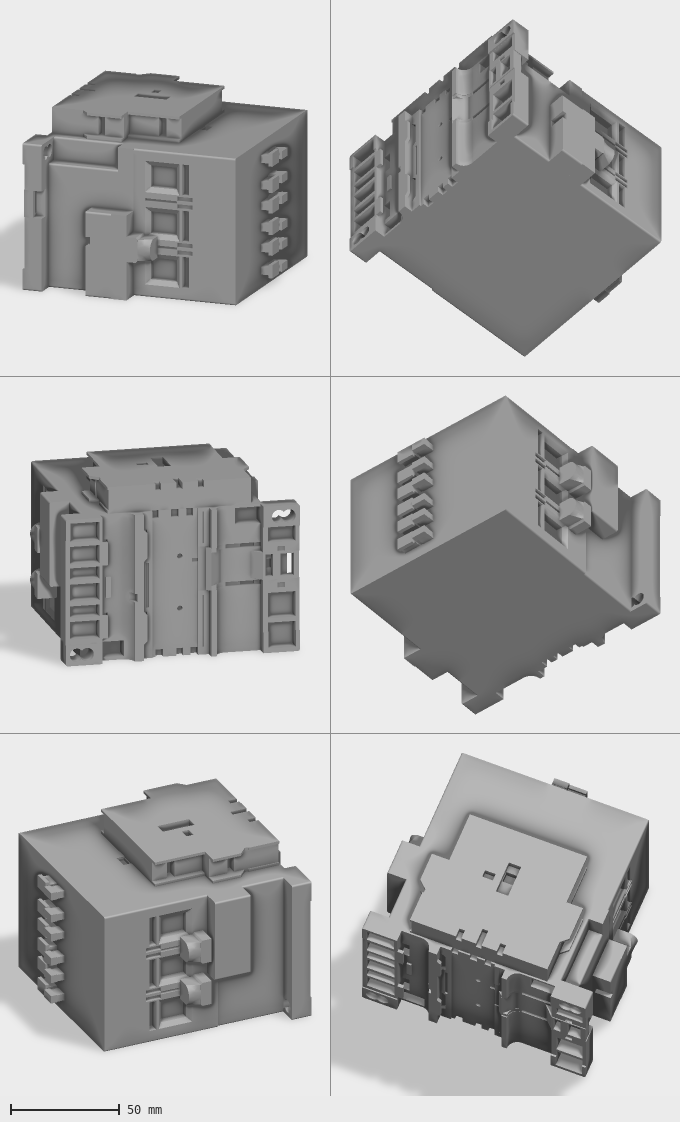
import cadquery as cq

height = 69.9
edge_radius = 0.9
seam_x = 43.5
cap_seam_x = 94.0
cap_front_x = 101.2

wall_x = 5.6
left_foot_x = 9.9
right_foot_x = 9.5
left_foot_y = (37.6, 55.0)
right_foot_y = (-55.8, -38.5)
core_y = (-39.9, 45.8)
shelf_y = -46.8
shelf_z = 58.9
block_x = 31.0
right_block_z = (0.0, 40.3)
left_block_z = (height - right_block_z[1], height)
left_relief = 0.6
right_relief = 0.9
foot_pad = 9.9
pocket_depth = 7.2
keyhole_radius = 3.2
keyhole_edge = 5.1
window_z = (34.8, 47.8)

lip_x = 0.3
step_x = 4.7
clip_z = (31.4, 51.6)
clip_gap = 2.1
clip_step_x = 5.2
left_lip_y = (18.0, 22.2)
right_lip_y = (-16.6, -14.0)
lip_radius = wall_x - lip_x
left_step_end_y = 12.8
right_step_end_y = -8.8

hook_spans = [(6.6, 24.6), (46.2, 63.7)]
foot_tab_spans = [(12.0, 22.8), (46.9, 57.7)]
left_pocket_spans = [(12.4, 21.0), (22.8, 28.4), (30.5, 38.8), (40.8, 46.5), (48.2, 56.8), (58.9, 68.1)]
right_pocket_spans = [(2.0, 14.2), (16.2, 28.4), (52.4, 59.8)]

side_y = 46.4
column_x = 51.2
left_block_end_x = 49.0
left_block_y = left_foot_y[1]
right_block_y = right_foot_y[0]
pole_pitch = 22.0
pole_z = [13.3 + pole_pitch * i for i in range(3)]
gap_z = [z + pole_pitch / 2 for z in pole_z[:2]]
tongue_y = (-24.3, 23.4)
tongue_length = 2.0

plate = 1.4
top_z = 82.4
top_rear_x = 6.4
top_step_x = 41.8
top_front_x = 67.2
top_right_y = -34.3
top_left_y = 33.1


def box(x, y, z):
    """Box from (low, high) spans along the three axes."""
    return cq.Workplane("XY").box(
        x[1] - x[0], y[1] - y[0], z[1] - z[0], centered=False
    ).translate((x[0], y[0], z[0]))


def rounded(x, y, z, edges="|X"):
    """Box with rounded chosen edges."""
    return box(x, y, z).edges(edges).fillet(edge_radius)


def plan(points, z):
    """Prism with an outline in X and Y between two heights."""
    return cq.Workplane("XY").polyline(points).close().extrude(z[1] - z[0]).translate((0, 0, z[0]))


def cut_all(body, cutters):
    """Body with every cutter removed."""
    for cutter in cutters:
        body = body.cut(cutter)
    return body


def join_all(body, parts):
    """Body fused with every part."""
    for part in parts:
        body = body.union(part)
    return body


def base_blank():
    """Core, shelf, feet and the rear halves of the terminal blocks."""
    full = (0, height)
    body = rounded((wall_x, left_foot_x), (0, left_foot_y[1]), full, "|X and >Y")
    return join_all(body, [
        rounded((wall_x, right_foot_x), (right_foot_y[0], 0), full, "|X and <Y"),
        rounded((left_foot_x, seam_x), (0, core_y[1]), full, "|X and >Y"),
        rounded((right_foot_x, seam_x), (core_y[0], 0), full, "|X and <Y"),
        rounded((right_foot_x, seam_x), (shelf_y, 0), (0, shelf_z), "|X and <Y"),
        rounded((0, wall_x), left_foot_y, full, "|X and >Y"),
        rounded((0, wall_x), right_foot_y, full, "|X and <Y"),
        rounded((block_x, seam_x), (0, left_block_y), left_block_z, "|X and >Y"),
        rounded((block_x, seam_x), (right_block_y, 0), right_block_z, "|X and <Y"),
    ])


def lip(y_flat, y_step, y_fillet, z, drop=0.0):
    """Rail lip: a flat ridge with a concave flank towards its foot and a low step on the other side."""
    ridge_x = lip_x + drop
    bend = lip_radius - drop
    away = 1 if y_fillet > y_flat else -1
    middle = bend * 0.5 ** 0.5
    profile = (
        cq.Workplane("XY")
        .moveTo(wall_x + 1.1, y_step)
        .lineTo(step_x, y_step)
        .lineTo(step_x, y_flat)
        .lineTo(ridge_x, y_flat)
        .lineTo(ridge_x, y_fillet)
        .threePointArc(
            (ridge_x + middle, y_fillet + away * (bend - middle)),
            (wall_x, y_fillet + away * bend),
        )
        .lineTo(wall_x + 1.1, y_fillet + away * bend)
        .close()
    )
    return profile.extrude(z[1] - z[0]).translate((0, 0, z[0]))


def lip_trapezoid(z, x, reach):
    """Prism with 45 degree ends beside the left lip, as long as its z span where it meets the lip."""
    root_y = left_lip_y[0]
    return (
        cq.Workplane("YZ")
        .polyline([
            (root_y, z[0]), (root_y, z[1]), (root_y - reach, z[1] - reach), (root_y - reach, z[0] + reach),
        ])
        .close()
        .extrude(x[1] - x[0])
        .translate((x[0], 0, 0))
    )


def rail_clip():
    """Wedge-nosed clip that fills the opening of the right lip."""
    ramp_z = (clip_z[0] + clip_gap, clip_z[1] - clip_gap)
    nose_y = right_lip_y[1]
    root_x = wall_x + 1.1
    nose_reach = 2.0
    ramp_end_y = -19.5
    nose = plan([(2.3, nose_y), (2.3, nose_y + nose_reach), (lip_x, nose_y)], clip_z)
    shoulder = box((clip_step_x, root_x), (nose_y, right_step_end_y), clip_z)
    ramp = plan([(root_x, nose_y), (lip_x, nose_y), (wall_x, ramp_end_y), (root_x, ramp_end_y)], ramp_z)
    return ramp.union(nose).union(shoulder)


def foot_gusset():
    """Wedge between the rear wall and the middle of the right foot."""
    reach = 4.8
    foot_y = right_foot_y[1]
    return plan([(wall_x, foot_y + reach), (wall_x, foot_y), (wall_x - reach, foot_y)], window_z)


def rail_features():
    """Everything that stands out from the rear wall."""
    low_gap = (clip_z[0], clip_z[0] + clip_gap)
    high_gap = (clip_z[1] - clip_gap, clip_z[1])
    right = (right_lip_y[1], right_step_end_y, right_lip_y[0])
    return [
        lip(left_lip_y[0], left_step_end_y, left_lip_y[1], (0, height)),
        lip(*right, (0, clip_z[0])),
        lip(*right, (clip_z[1], height)),
        lip(*right, low_gap, drop=0.5),
        lip(*right, high_gap, drop=0.5),
        foot_gusset(),
        box((step_x, wall_x + 1.1), (32.6, 34.8), (30.1, 40.0)),
    ]


def lip_hook(z):
    """Hook that narrows the rail channel at the left lip."""
    inset = 1.0
    return lip_trapezoid((z[0] + inset, z[1] - inset), (lip_x, 1.9), 1.8)


def hook_clearance(z):
    """Recess in the low step behind a hook."""
    return lip_trapezoid(z, (step_x, wall_x + 0.9), 2.6)


def foot_tabs():
    """Thin tabs on the inner side of the left foot."""
    return [box((left_relief, 2.1), (34.9, left_foot_y[0] + 1.1), z) for z in foot_tab_spans]


def keyhole(y_outer, y_inner, z):
    """Two overlapping mounting holes through a foot."""
    outer = cq.Workplane("YZ").center(y_outer, z).circle(keyhole_radius).extrude(left_foot_x)
    return outer.union(cq.Workplane("YZ").center(y_inner, z).circle(keyhole_radius).extrude(left_foot_x))


def foot_cuts():
    """Keyholes, rear relief and lightening pockets of both feet."""
    relief_z = (foot_pad, height - foot_pad)
    outer_y = right_foot_y[0]
    window_step_x = 5.1
    inner_z = (36.2, 46.9)
    side_pocket_y = (-43.3, -39.7)
    left_pocket_y = (39.0, 52.9)
    right_pocket_y = (-54.0, -41.0)
    small_pocket_y = (-48.8, -45.3)
    small_pocket_spans = [(30.5, 33.1), (48.0, 50.4)]
    cuts = [
        keyhole(-50.6, -45.8, height - keyhole_edge),
        keyhole(49.9, 45.0, keyhole_edge),
        box((0, left_relief), left_foot_y, relief_z),
        box((0, right_relief), right_foot_y, (relief_z[0], window_z[0])),
        box((0, right_relief), right_foot_y, (window_z[1], relief_z[1])),
        box((0, left_relief), right_foot_y, window_z),
        box((0, window_step_x), (-53.1, -46.7), inner_z),
        box((window_step_x, right_foot_x), (outer_y, -50.9), window_z),
        box((0, right_foot_x), (outer_y, outer_y + 0.3), window_z),
        box((0, window_step_x), side_pocket_y, inner_z),
        box((0, pocket_depth), side_pocket_y, (39.2, 43.5)),
    ]
    cuts += [box((0, pocket_depth), left_pocket_y, z) for z in left_pocket_spans]
    cuts += [box((0, pocket_depth), right_pocket_y, z) for z in right_pocket_spans]
    cuts += [box((0, 2.3), small_pocket_y, z) for z in small_pocket_spans]
    return cuts


def wall_notches():
    """Rectangular notches along the upper and lower edge of the rear wall."""
    x = (step_x, wall_x + 2.9)
    notch_height = 3.6
    upper_y = [(9.7, 12.7), (0.2, 3.8), (-6.6, -3.5)]
    lower_y = [(7.5, 11.2), (-1.9, 1.2), (-8.8, -5.3)]
    upper = [box(x, y, (height - notch_height, height)) for y in upper_y]
    lower = [box(x, y, (0, notch_height)) for y in lower_y]
    return upper + lower


def clip_cuts():
    """Stepped grooves above and below the rail clip, and the room for the clip in the low step."""
    groove_y = (right_foot_y[1], right_lip_y[0] - lip_radius)
    deep_y = (-36.0, -29.3)
    room_z = (clip_z[0] - 0.9, clip_z[1])
    cuts = [box((lip_x, clip_step_x), (right_lip_y[1], right_step_end_y), room_z)]
    for z in [(clip_z[0], clip_z[0] + clip_gap), (clip_z[1] - clip_gap, clip_z[1])]:
        cuts.append(box((wall_x, wall_x + 1.7), groove_y, z))
        cuts.append(box((wall_x, wall_x + 2.8), deep_y, z))
    return cuts


def wall_cuts():
    """Recesses, slits and blind holes in the rear wall and the rail lips."""
    recess_x = wall_x + pocket_depth
    slit_y = (-11.4, -10.9)
    slit_spans = [(3.6, 28.4), (53.1, 68.2)]
    hole_y = -0.3
    hole_z = (22.5, 47.5)
    hole_radius = 1.2
    cuts = [
        box((wall_x, recess_x), (right_foot_y[1], -26.4), (60.6, 68.6)),
        box((lip_x, recess_x), (26.1, left_foot_y[0]), (1.5, 9.0)),
        box((lip_x, step_x), (21.0, 24.1), (28.3, 32.2)),
        box((step_x, wall_x + 1.1), (right_step_end_y, -6.1), (44.3, 46.1)),
        box((step_x, wall_x), (14.4, 15.9), (24.1, 45.5)),
    ]
    cuts += [box((step_x, wall_x), slit_y, z) for z in slit_spans]
    cuts += [box((wall_x, wall_x + 3.4), (33.8, left_foot_y[0]), z) for z in foot_tab_spans]
    cuts += [hook_clearance(z) for z in hook_spans]
    holes = cq.Workplane("YZ").pushPoints([(hole_y, z) for z in hole_z])
    cuts.append(holes.circle(hole_radius).extrude(wall_x + 2.3))
    return cuts


def make_base():
    """Base: feet, rail channel and the rear halves of the terminal blocks."""
    body = join_all(base_blank(), rail_features())
    body = cut_all(body, foot_cuts() + wall_notches() + wall_cuts() + clip_cuts())
    block_notch = box((block_x, block_x + 2.3), (right_block_y, -47.9), (24.0, 28.4))
    hooks = [lip_hook(z) for z in hook_spans]
    return join_all(body.cut(block_notch), foot_tabs() + hooks + [rail_clip()])


def screw_tab(z):
    """Tab beside a terminal block, on the right side, with a half-round screw head in front of it."""
    tab_x = (column_x, 56.7)
    head_front_x = 62.9
    half = 5.1
    tab_corner = 0.9
    tab = box(tab_x, (right_block_y, 0), (z - 6.0, z + 6.0)).edges("|Y and >X").chamfer(tab_corner)

    def head_section(x, shoulder_y, crown_y):
        return (
            cq.Workplane("YZ", origin=(x, 0, 0))
            .moveTo(-side_y, z - half)
            .lineTo(shoulder_y, z - half)
            .threePointArc((crown_y, z), (shoulder_y, z + half))
            .lineTo(-side_y, z + half)
            .close()
            .wire()
            .val()
        )

    head = cq.Solid.makeLoft([
        head_section(tab_x[1], right_block_y + 0.2, right_block_y),
        head_section(head_front_x, -52.5, -56.4),
    ], True)
    return tab.union(cq.Workplane(head))


def terminal_funnel(z):
    """Terminal opening on the right side: a tapered mouth, a straight pocket and a tool slot."""
    mouth_x = (56.7, 73.6)
    mouth_half = 7.4
    inner_x = (58.9, 71.9)
    inner_half = 5.2
    taper = 1.7
    depth = 4.8

    def section(y, x, half):
        points = [(x[0], y, z - half), (x[1], y, z - half), (x[1], y, z + half), (x[0], y, z + half)]
        return cq.Wire.makePolygon([cq.Vector(*p) for p in points], close=True)

    mouth = cq.Solid.makeLoft([
        section(-side_y, mouth_x, mouth_half),
        section(-side_y + taper, inner_x, inner_half),
    ], True)
    pocket = box(inner_x, (-side_y, depth - side_y), (z - inner_half, z + inner_half))
    tool_slot = box((74.8, 78.4), (-side_y, 4.5 - side_y), (z - mouth_half, z + mouth_half))
    return [cq.Workplane(mouth), pocket, tool_slot]


def phase_grooves(z):
    """Thin groove and two short slots in the gap between two poles, on the right side."""
    groove_half = 0.7
    slot_reach = 2.9
    slot_x = (72.5, 80.1)
    y = (-side_y, 1.8 - side_y)
    return [
        box((56.7, slot_x[0]), y, (z - groove_half, z + groove_half)),
        box(slot_x, y, (z + groove_half, z + slot_reach)),
        box(slot_x, y, (z - slot_reach, z - groove_half)),
    ]


def on_left(part):
    """The same part on the opposite side wall."""
    return part.mirror("XZ")


def make_housing():
    """Housing: main block with the pole terminals on both side walls."""
    tongue = box((cap_seam_x, cap_seam_x + tongue_length), tongue_y, (0, height))
    wall = (-side_y, side_y)
    body = join_all(rounded((column_x, cap_seam_x), wall, (0, height)), [
        box((seam_x, column_x), (shelf_y, 0), (0, height)),
        rounded((seam_x, column_x), (-1.1, side_y), (0, height), "|X and >Y"),
        tongue,
        box((seam_x, column_x), (right_block_y, 0), right_block_z),
        rounded((seam_x, left_block_end_x), (0, left_block_y), left_block_z, "|X and >Y"),
    ])
    side_cuts = []
    for z in pole_z:
        side_cuts += terminal_funnel(z)
    for z in gap_z:
        side_cuts += phase_grooves(z)
    body = cut_all(body, side_cuts + [on_left(cutter) for cutter in side_cuts])
    body = join_all(body, [screw_tab(gap_z[0])] + [on_left(screw_tab(z)) for z in gap_z])
    latch_pocket = [
        box((67.2, 71.2), (-4.2, 3.2), (height - 0.5, height)),
        box((67.6, 70.8), (-3.7, 2.7), (height - 1.6, height)),
    ]
    return cut_all(body, latch_pocket)


blade_front_x = 108.0
pin_head_x = 105.0
blade_y = (-4.2, 3.2)
hook_pin_y = (-13.6, -5.0)
hook_front_x = 106.8
hook_pin_z = [8.3, 19.2, 29.0, 39.2, 49.0, 61.5]
blade_pin_z = [8.0, 18.6, 27.7, 40.2, 50.2, 61.5]


def hook_pin(z):
    """Short T-headed pin on the front of the cap."""
    stem = box((cap_front_x, hook_front_x), hook_pin_y, (z - 1.8, z + 1.8))
    return stem.union(box((pin_head_x, hook_front_x), hook_pin_y, (z - 3.2, z + 3.2)))


def blade_pin(z):
    """Longer pin beside each hook pin, with a slightly slimmer stem."""
    head = box((pin_head_x, blade_front_x), blade_y, (z - 1.9, z + 1.9))
    stem = box((cap_front_x, pin_head_x), (-2.9, blade_y[1]), (z - 1.7, z + 1.7))
    flange = box((cap_front_x, pin_head_x), blade_y, (z - 1.4, z + 1.4))
    return head.union(stem).union(flange)


def make_cap():
    """Front cap with its two rows of contact pins."""
    wall = (-side_y, side_y)
    body = rounded((cap_seam_x, cap_front_x), wall, (0, height))
    body = body.cut(box((cap_seam_x, cap_seam_x + tongue_length), tongue_y, (0, height)))
    return join_all(body, [hook_pin(z) for z in hook_pin_z] + [blade_pin(z) for z in blade_pin_z])


def top_core():
    """Solid middle of the top block, with a wire slot on each side of each step."""
    z = (height, top_z)
    right_y, left_y = top_right_y, top_left_y
    right_front_y, left_front_y = -26.5, 25.6
    body = plan([
        (top_rear_x, right_y), (top_rear_x, left_y), (top_step_x, left_y), (top_step_x, left_front_y),
        (top_front_x, left_front_y), (top_front_x, right_front_y), (top_step_x, right_front_y),
        (top_step_x, right_y),
    ], z)
    slot_depth = 4.5
    rear_slot_x = (29.2, 32.3)
    front_slot_x = (55.9, 59.7)
    return cut_all(body, [
        box(rear_slot_x, (right_y, right_y + slot_depth), z),
        box(rear_slot_x, (left_y - slot_depth, left_y), z),
        box(front_slot_x, (right_front_y, right_front_y + slot_depth), z),
        box(front_slot_x, (left_front_y - slot_depth, left_front_y), z),
    ])


def top_plate(z_low):
    """Overhanging plate with slanted shoulders."""
    return plan([
        (top_rear_x, 33.8), (22.0, 33.8), (22.0, 32.9), (23.4, 32.9), (27.5, 37.2), (top_step_x, 37.2),
        (top_step_x, 28.6), (top_front_x, 28.6), (top_front_x, -29.5), (top_step_x, -29.5),
        (top_step_x, -37.8), (24.8, -37.8), (21.5, top_right_y), (top_rear_x, top_right_y),
    ], (z_low, z_low + plate))


def make_top_block():
    """Top block: core between two overhanging plates, with slots in its top."""
    body = join_all(top_core(), [top_plate(height), top_plate(top_z - plate)])
    slot_z = (top_z - 3.2, top_z)
    return cut_all(body, [
        box((top_rear_x, 10.8), (8.3, 11.0), slot_z),
        box((top_rear_x, 14.7), (-1.7, 1.1), slot_z),
        box((top_rear_x, 10.8), (-12.1, -9.2), slot_z),
        box((39.6, 43.0), (6.1, 11.4), slot_z),
        box((34.8, 50.8), (-3.4, 2.7), slot_z),
        box((42.1, 47.3), (-3.0, 2.5), (top_z - 6.3, top_z)),
    ])


base = make_base()
housing = make_housing()
cap = make_cap()
top_block = make_top_block()
result = cq.Compound.makeCompound([base.val(), housing.val(), cap.val(), top_block.val()])